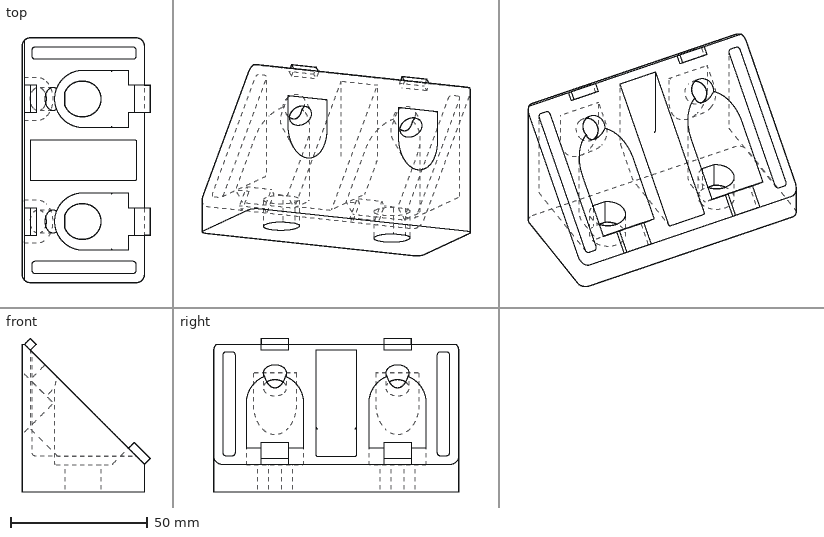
import cadquery as cq
import math

body_depth = 45.0
body_length = 90.0
toe_height = 10.2
crest_width = 0.9
corner_radius = 3.15
slope_sum = body_depth + toe_height

station_offset = 22.5

tab_width = 10.1
tab_height = 3.1
upper_tab_length = 3.1
lower_tab_start = 39.1

seat_radius = 7.9
seat_wall = 7.7
screw_diameter = 8.5
screw_exit_x = 11.4
seat_top_reach = 8.2

pocket_radius = 10.5
pocket_center_x = 22.5
pocket_floor = 10.0
base_hole_diameter = 13.0
base_hole_stretch = 0.7
base_hole_flat_x = 15.75
base_hole_height = pocket_floor + 0.9

wall_fillet = 0.5
recess_width = 14.8
recess_start = 3.1
recess_end = 42.1
recess_bevel_end = 13.2
groove_width = 4.5
groove_start = 3.7
groove_end = 41.85
groove_offset = 39.3
groove_fillet = 1.1


def slope_z(x):
    """Height of the sloping face at x."""
    return slope_sum - x


def on_slope(x, y):
    """Workplane on the sloping face: local X across the part, normal pointing outwards."""
    return cq.Workplane(cq.Plane(origin=(x, y, slope_z(x)), xDir=(0, 1, 0), normal=(1, 0, 1)))


def side_profile(points, width, y):
    """Solid with an X-Z outline, centred on y."""
    return cq.Workplane("XZ").polyline(points).close().extrude(width / 2, both=True).translate((0, y, 0))


def make_body():
    """Plain wedge with a narrow crest and rounded upright corners."""
    outline = [
        (0, 0),
        (body_depth, 0),
        (body_depth, toe_height),
        (crest_width, slope_z(crest_width)),
        (0, slope_z(crest_width)),
    ]
    return side_profile(outline, body_length, 0).edges("|Z").fillet(corner_radius)


def make_tab(start_x, length, y):
    """Rectangular tab running down the slope from start_x."""
    return on_slope(start_x, y).center(0, -length / 2).rect(tab_width, length).extrude(tab_height)


def make_slanted_seat(y):
    """U-shaped seat behind the sloping face, with its screw hole through to the slope."""
    plane = on_slope(screw_exit_x, y)
    seat = (
        plane.workplane(offset=-seat_wall)
        .moveTo(-seat_radius, seat_top_reach)
        .lineTo(-seat_radius, 0)
        .threePointArc((0, -seat_radius), (seat_radius, 0))
        .lineTo(seat_radius, seat_top_reach)
        .close()
        .extrude(-body_depth)
        .faces(">(1, 0, 1)")
        .edges()
        .fillet(wall_fillet)
    )
    hole = plane.circle(screw_diameter / 2).extrude(-2 * seat_wall)
    return seat.union(hole)


def make_base_hole(y):
    """Slightly elongated screw hole through the base, with a flat on its back side."""
    slot = (
        cq.Workplane("XY", origin=(pocket_center_x - base_hole_stretch / 2, y, 0))
        .slot2D(base_hole_diameter + base_hole_stretch, base_hole_diameter)
        .extrude(base_hole_height)
    )
    clear_of_flat = cq.Workplane("XY", origin=(base_hole_flat_x, y, 0)).box(
        body_depth, base_hole_diameter, base_hole_height, centered=(False, True, False)
    )
    return slot.intersect(clear_of_flat)


def make_upright_pocket(y):
    """U-shaped pocket with a 45-degree end wall, and its hole through the base."""
    wall_foot = lower_tab_start - (slope_z(lower_tab_start) - pocket_floor)
    wall_head = wall_foot + slope_sum - pocket_floor
    plan = (
        cq.Workplane("XY", origin=(pocket_center_x, y, pocket_floor))
        .moveTo(body_depth, pocket_radius)
        .lineTo(0, pocket_radius)
        .threePointArc((-pocket_radius, 0), (0, -pocket_radius))
        .lineTo(body_depth, -pocket_radius)
        .close()
        .extrude(slope_sum - pocket_floor)
    )
    flank = [(0, pocket_floor), (wall_foot, pocket_floor), (wall_head, slope_sum), (0, slope_sum)]
    pocket = plan.intersect(side_profile(flank, 2 * pocket_radius, y))
    pocket = pocket.faces("<Z").edges().fillet(wall_fillet)
    return pocket.union(make_base_hole(y))


def make_recess():
    """Central recess with a level floor and a 45-degree bevel towards the back."""
    floor = slope_z(recess_end)
    bevel_rise = recess_bevel_end - recess_start
    outline = [
        (recess_start, floor + bevel_rise),
        (recess_bevel_end, floor),
        (body_depth, floor),
        (body_depth, slope_sum),
        (recess_start, slope_sum),
    ]
    recess = side_profile(outline, recess_width, 0)
    return recess.faces("<Z or <(1, 0, 1)").edges("not >X").fillet(wall_fillet)


def make_groove(y):
    """Level-floored groove whose floor runs out through the sloping face."""
    floor = slope_z(groove_end)
    return (
        cq.Workplane("XY", origin=(groove_start, y, floor))
        .box(body_depth, groove_width, slope_sum - floor, centered=(False, True, False))
        .edges("|Z and <X")
        .fillet(groove_fillet)
        .faces("<Z")
        .edges("not >X")
        .fillet(groove_fillet)
    )


result = make_body()
lower_tab_length = (body_depth - lower_tab_start) * math.sqrt(2)
for side in (-1, 1):
    y = side * station_offset
    result = result.union(make_tab(crest_width, upper_tab_length, y))
    result = result.union(make_tab(lower_tab_start, lower_tab_length, y))
    result = result.cut(make_slanted_seat(y))
    result = result.cut(make_upright_pocket(y))
    result = result.cut(make_groove(side * groove_offset))
result = result.cut(make_recess())